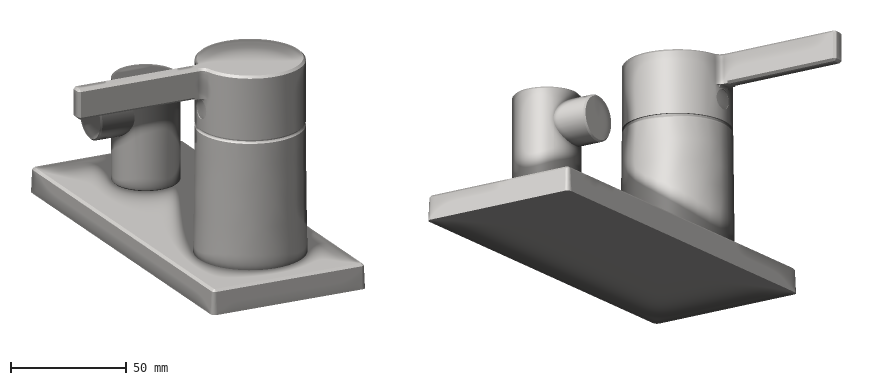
import cadquery as cq
import math

plate_length = 175.0
plate_width = 74.9
plate_height = 11.5
plate_draft = 0.5
plate_corner_radius = 2.1
plate_top_chamfer = 1.0

control_offset = 49.9

knob_radius = 15.0
knob_top = 59.7
knob_chamfer = 0.9
knob_base_chamfer = 0.5
button_radius = 10.5
button_height = 45.0
button_reach = 27.1
button_chamfer = 0.7

mixer_radius = 24.2
body_base_radius = 24.8
mixer_top = 100.8
groove_bottom = 69.6
groove_top = 71.4
groove_depth = 0.9

overall_depth = 122.5
lever_reach = overall_depth - plate_width / 2
lever_width = 6.1
lever_height = 14.0
lever_chamfer = 1.0
lever_root_radius = 3.2
lever_under_radius = 1.0
stub_margin = 1.8
edge_margin = 0.2

screw_radius = 4.5
screw_height = 81.0
screw_depth = mixer_radius - math.sqrt(mixer_radius**2 - screw_radius**2)


def make_plate():
    draft_angle = math.degrees(math.atan(plate_draft / plate_height))
    plate = (
        cq.Workplane("XY")
        .sketch()
        .rect(plate_length, plate_width)
        .vertices()
        .fillet(plate_corner_radius)
        .finalize()
        .extrude(plate_height, taper=draft_angle)
    )
    return plate.faces(">Z").chamfer(plate_top_chamfer)


def make_knob():
    post = (
        cq.Workplane("XY", origin=(-control_offset, 0, plate_height))
        .circle(knob_radius)
        .extrude(knob_top - plate_height)
        .faces(">Z")
        .chamfer(knob_chamfer)
        .faces("<Z")
        .chamfer(knob_base_chamfer)
    )
    button = (
        cq.Workplane("XZ", origin=(-control_offset, 0, button_height))
        .circle(button_radius)
        .extrude(button_reach)
        .faces("<Y")
        .chamfer(button_chamfer)
    )
    return post.union(button)


def make_body():
    """Tapered mixer body, including the neck at the bottom of the groove."""
    neck_radius = mixer_radius - groove_depth
    return (
        cq.Workplane("XZ", origin=(control_offset, 0, 0))
        .moveTo(0, plate_height)
        .lineTo(body_base_radius, plate_height)
        .lineTo(mixer_radius, groove_bottom)
        .lineTo(neck_radius, groove_bottom + groove_depth)
        .lineTo(neck_radius, groove_top)
        .lineTo(0, groove_top)
        .close()
        .revolve(360, (0, 0, 0), (0, 1, 0))
    )


def make_lever_bar(length):
    """Square-edged bar from the head axis forward, level with the head top."""
    return (
        cq.Workplane("XY", origin=(control_offset, -length / 2, mixer_top - lever_height))
        .rect(lever_width, length)
        .extrude(lever_height)
    )


def make_head():
    head = (
        cq.Workplane("XY", origin=(control_offset, 0, groove_top))
        .circle(mixer_radius)
        .extrude(mixer_top - groove_top)
    )
    lever_bottom = mixer_top - lever_height

    arc_centre_x = lever_width / 2 + lever_root_radius
    arc_centre_y = -math.sqrt((mixer_radius + lever_root_radius) ** 2 - arc_centre_x**2)
    head = head.union(make_lever_bar(-arc_centre_y + stub_margin))
    root_y = -math.sqrt(mixer_radius**2 - (lever_width / 2) ** 2)
    root_zone = cq.selectors.BoxSelector(
        (control_offset - lever_width, root_y - edge_margin, lever_bottom),
        (control_offset + lever_width, root_y + edge_margin, mixer_top),
    )
    head = head.edges("|Z").edges(root_zone).fillet(lever_root_radius)
    head = head.faces(">Z").chamfer(lever_chamfer)

    lever = make_lever_bar(lever_reach).edges("|Y or <Y").chamfer(lever_chamfer)
    head = head.union(lever)

    root_face_y = -mixer_radius
    under_blend = (
        cq.Workplane("YZ", origin=(control_offset, 0, 0))
        .moveTo(root_face_y - lever_under_radius, lever_bottom)
        .radiusArc((root_face_y, lever_bottom - lever_under_radius), lever_under_radius)
        .lineTo(root_face_y + lever_under_radius, lever_bottom - lever_under_radius)
        .lineTo(root_face_y + lever_under_radius, lever_bottom)
        .close()
        .extrude(lever_width / 2, both=True)
    )
    head = head.union(under_blend)

    screw = (
        cq.Workplane("XZ", origin=(control_offset, -mixer_radius + screw_depth, screw_height))
        .circle(screw_radius)
        .extrude(screw_depth)
    )
    return head.cut(screw)


result = make_plate().union(make_knob()).union(make_body()).union(make_head())